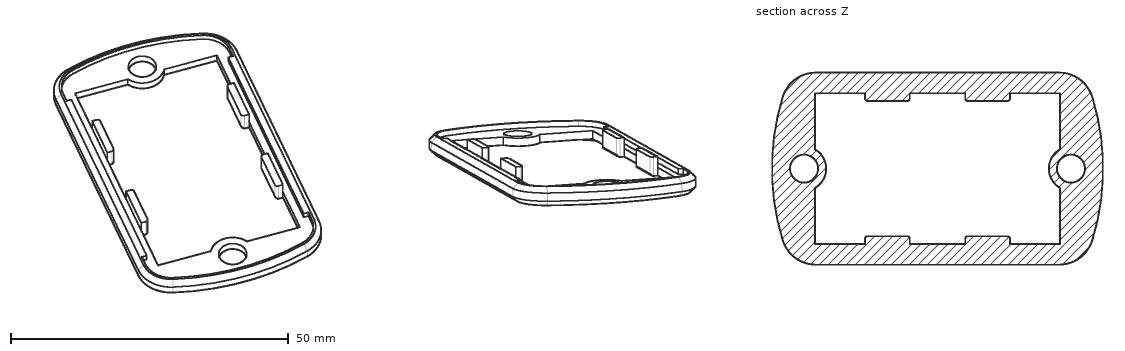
import cadquery as cq
import math

frame_length = 59.6
frame_width = 34.6
frame_height = 3.5
edge_chamfer = 1.0

corner_radius = 6.3
corner_center_x = 21.85

rim_thickness = 1.4
floor_bottom = 1.0
floor_top = 2.5
strip_length = 40.0
strip_inner_y = 15.0

window_length = 44.0
window_width = 27.1
eye_spacing = 48.0
eye_radius = 4.0
hole_diameter = 5.0
eye_centers = [(-eye_spacing / 2, 0), (eye_spacing / 2, 0)]

tab_length = 8.1
tab_thickness = 1.4
tab_spacing = 18.0
tab_bottom = floor_bottom
tab_top = 4.5
tab_corner_radius = 0.5
tab_lead_in = 0.4


def outline(inset):
    """Closed wire of the frame outline, moved inwards by inset."""
    half_length = frame_length / 2
    half_width = frame_width / 2
    corner_center_y = half_width - corner_radius
    overhang = half_length - corner_center_x
    tangency_sum = overhang**2 + corner_center_y**2 - corner_radius**2
    end_radius = tangency_sum / (2 * (overhang - corner_radius))
    end_center_x = half_length - end_radius
    tangent_angle = math.asin(corner_center_y / (end_radius - corner_radius))

    side_y = half_width - inset
    end_x = half_length - inset
    small_radius = corner_radius - inset
    joint_x = end_center_x + (end_radius - inset) * math.cos(tangent_angle)
    joint_y = (end_radius - inset) * math.sin(tangent_angle)
    middle_angle = (tangent_angle + math.pi / 2) / 2
    middle_x = corner_center_x + small_radius * math.cos(middle_angle)
    middle_y = corner_center_y + small_radius * math.sin(middle_angle)

    return (
        cq.Workplane("XY")
        .moveTo(-corner_center_x, side_y)
        .lineTo(corner_center_x, side_y)
        .threePointArc((middle_x, middle_y), (joint_x, joint_y))
        .threePointArc((end_x, 0), (joint_x, -joint_y))
        .threePointArc((middle_x, -middle_y), (corner_center_x, -side_y))
        .lineTo(-corner_center_x, -side_y)
        .threePointArc((-middle_x, -middle_y), (-joint_x, -joint_y))
        .threePointArc((-end_x, 0), (-joint_x, joint_y))
        .threePointArc((-middle_x, middle_y), (-corner_center_x, side_y))
        .close()
    )


def frame_body():
    """Solid plate with both outer edges chamfered."""
    return outline(0).extrude(frame_height).faces("<Z or >Z").edges().chamfer(edge_chamfer)


def top_recess():
    """Cutter that lowers the top face inside the rim and leaves the two long strips."""
    depth = frame_height - floor_top
    pocket = outline(rim_thickness).extrude(depth)
    strip_width = frame_width / 2 - strip_inner_y
    for side in (-1, 1):
        strip_center_y = side * (strip_inner_y + strip_width / 2)
        strip = (
            cq.Workplane("XY")
            .center(0, strip_center_y)
            .rect(strip_length, strip_width)
            .extrude(depth)
        )
        pocket = pocket.cut(strip)
    return pocket.translate((0, 0, floor_top))


def bottom_recess():
    """Cutter that hollows the underside inside the rim."""
    return outline(rim_thickness).extrude(floor_bottom)


def window():
    """Cutter for the central opening, which goes around the two screw eyes."""
    opening = cq.Workplane("XY").rect(window_length, window_width).extrude(frame_height)
    eyes = cq.Workplane("XY").pushPoints(eye_centers).circle(eye_radius).extrude(frame_height)
    return opening.cut(eyes)


def screw_holes():
    """Cutters for the through holes in the screw eyes."""
    return cq.Workplane("XY").pushPoints(eye_centers).circle(hole_diameter / 2).extrude(frame_height)


def snap_tab(center_x, side):
    """Upright tab on the window edge: inner vertical edges rounded, inner bottom edge cut at 45 degrees."""
    inner_side = ">Y" if side < 0 else "<Y"
    center_y = side * (window_width - tab_thickness) / 2
    block = (
        cq.Workplane("XY", origin=(center_x, center_y, tab_bottom))
        .rect(tab_length, tab_thickness)
        .extrude(tab_top - tab_bottom)
    )
    rounded = block.faces(inner_side).edges("|Z").fillet(tab_corner_radius)
    beveled = block.faces(inner_side).edges("<Z").chamfer(tab_lead_in)
    return rounded.intersect(beveled)


result = frame_body().cut(top_recess()).cut(bottom_recess()).cut(window()).cut(screw_holes())
for tab_x in (-tab_spacing / 2, tab_spacing / 2):
    for tab_side in (-1, 1):
        result = result.union(snap_tab(tab_x, tab_side))